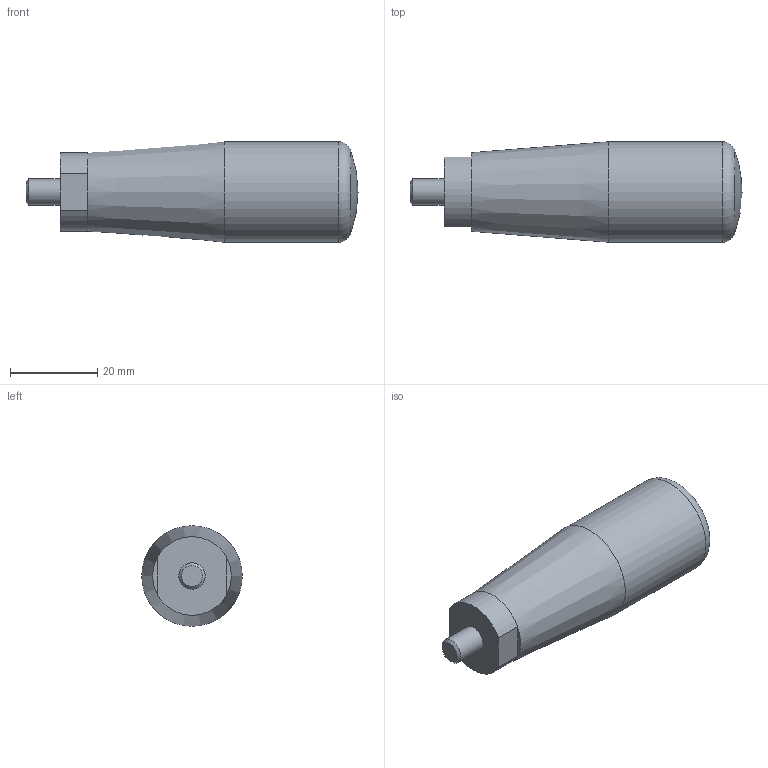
import cadquery as cq
import math

total_length = 76.0
pin_length = 7.8
collar_length = 6.2
taper_length = 31.4
grip_length = 26.1

pin_diameter = 6.0
pin_chamfer = 0.6
collar_diameter = 18.0
grip_diameter = 23.0
across_flats = 16.0
rim_radius = 3.0

taper_start_x = collar_length
grip_start_x = taper_start_x + taper_length
grip_end_x = grip_start_x + grip_length
dome_tip_x = total_length - pin_length

grip_radius = grip_diameter / 2
rim_centre_r = grip_radius - rim_radius
dome_height = dome_tip_x - grip_end_x
dome_radius = (dome_height**2 + rim_centre_r**2 - rim_radius**2) / (2 * (dome_height - rim_radius))
dome_centre_x = dome_tip_x - dome_radius
blend_angle = math.atan2(rim_centre_r, grip_end_x - dome_centre_x)


def rim_point(angle):
    """Point on the rim arc, with the angle measured from the handle axis."""
    return (
        grip_end_x + rim_radius * math.cos(angle),
        rim_centre_r + rim_radius * math.sin(angle),
    )


def dome_point(angle):
    """Point on the dome arc, with the angle measured from the handle axis."""
    return (
        dome_centre_x + dome_radius * math.cos(angle),
        dome_radius * math.sin(angle),
    )


def make_handle_body():
    """Collar, tapered neck, cylindrical grip and domed end, revolved about X."""
    collar_radius = collar_diameter / 2
    rim_mid_angle = (blend_angle + math.pi / 2) / 2
    profile = (
        cq.Workplane("XY")
        .moveTo(0, 0)
        .lineTo(0, collar_radius)
        .lineTo(taper_start_x, collar_radius)
        .lineTo(grip_start_x, grip_radius)
        .lineTo(grip_end_x, grip_radius)
        .threePointArc(rim_point(rim_mid_angle), rim_point(blend_angle))
        .threePointArc(dome_point(blend_angle / 2), (dome_tip_x, 0))
        .close()
    )
    return profile.revolve(360, (0, 0, 0), (1, 0, 0))


def make_flat_cutter(side):
    """Block that removes one wrench flat from the collar, on the +Y or -Y side."""
    cutter_depth = collar_diameter - across_flats
    centre_y = side * (across_flats + cutter_depth) / 2
    return (
        cq.Workplane("XY")
        .box(collar_length, cutter_depth, collar_diameter)
        .translate((collar_length / 2, centre_y, 0))
    )


def make_pin():
    """Pin standing out of the collar face towards -X, chamfered at its free end."""
    return (
        cq.Workplane("YZ")
        .circle(pin_diameter / 2)
        .extrude(-pin_length)
        .faces("<X")
        .chamfer(pin_chamfer)
    )


result = make_handle_body()
for flat_side in (-1, 1):
    result = result.cut(make_flat_cutter(flat_side))
result = result.union(make_pin())